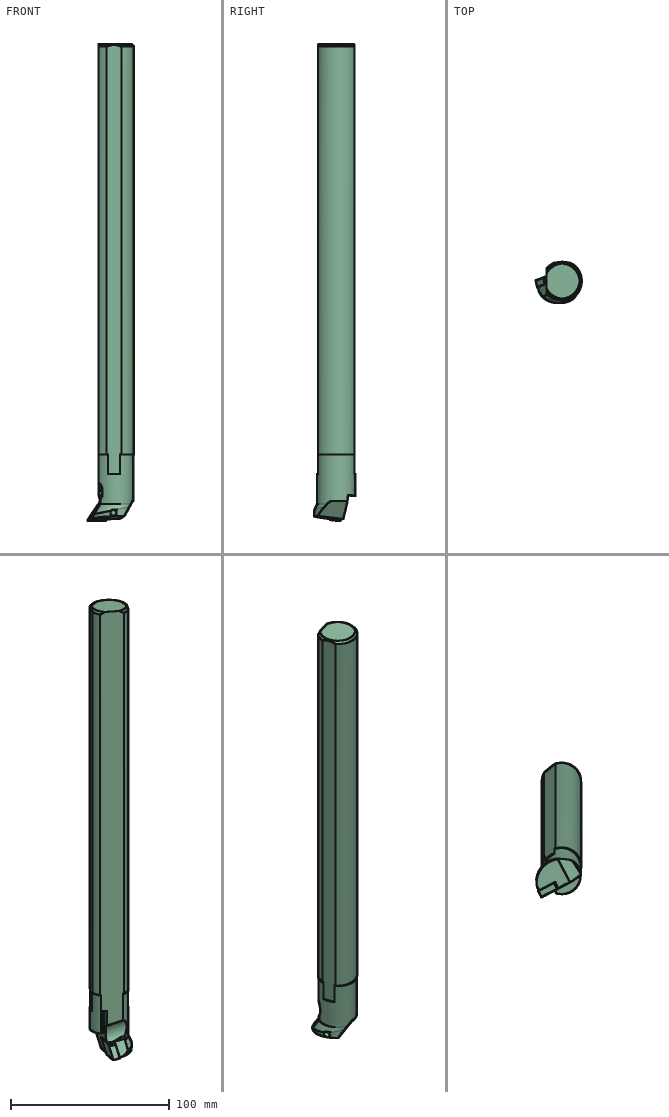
import cadquery as cq
import math

bar_length = 301.2
shank_radius = 12.5
shank_bottom = 42.0
top_chamfer = 1.5
side_flat_x = -10.0
face_flat_offset = 11.6
face_flat_bottom = 29.5
cut_margin = 30.0

neck_radius = 12.2
neck_bottom = 12.7

flare_top = 10.5
flare_radius = 14.9
flare_center = (-2.5, 1.0, 6.3)
flare_slope = 0.2
head_depth = 27.0
relief_depth = 42.2
head_outline = [(1.0, 0.5), (20.8, 1.2), (28.3, 12.7), (31.5, 27.0), (6.5, 27.0), (6.5, 9.5)]

tip = (-17.05, 0.3, 0.0)
rake_slope_x = 0.2
rake_slope_z = 0.12
rake_wall_height = 16.5

insert_edge = 11.7
insert_angle = 55.0
insert_thickness = 4.5
nose_radius = 0.4

scoop_radius = 7.8
scoop_floor_x = -7.2
scoop_center_z = 16.0
scoop_tilt = 15.0
scoop_end_y = 3.5
groove_top = 31.0
groove_floor_x = -7.8
groove_y = (3.3, 4.5, 8.7)
groove_overrun = 3.0
hole_diameter = 4.0
hole_center = (-0.45, 5.0)
hole_depth = 6.0

rake_plane = cq.Plane(
    origin=tip,
    xDir=(1, rake_slope_x, 0),
    normal=(rake_slope_x, -1, rake_slope_z),
)


def make_insert():
    angle = math.radians(insert_angle)
    side_x = insert_edge * math.cos(angle)
    side_y = insert_edge * math.sin(angle)
    corners = [(0, 0), (insert_edge, 0), (insert_edge + side_x, side_y), (side_x, side_y)]
    diamond = cq.Workplane(rake_plane).polyline(corners).close().extrude(insert_thickness)
    nose = cq.selectors.NearestToPointSelector(
        rake_plane.toWorldCoords((0, 0, insert_thickness / 2)).toTuple()
    )
    return diamond.edges(nose).fillet(nose_radius)


def make_shank_and_neck():
    shank = (
        cq.Workplane("XY", origin=(0, 0, shank_bottom))
        .circle(shank_radius)
        .extrude(bar_length - shank_bottom)
        .faces(">Z")
        .chamfer(top_chamfer)
    )
    neck = (
        cq.Workplane("XY", origin=(0, 0, neck_bottom))
        .circle(neck_radius)
        .extrude(shank_bottom - neck_bottom)
    )
    return shank.union(neck)


def cut_flats(bar):
    side_block = cq.Workplane("XY").box(
        cut_margin, 2 * cut_margin, bar_length - neck_bottom, centered=(False, True, False)
    )
    bar = bar.cut(side_block.translate((side_flat_x - cut_margin, 0, neck_bottom)))
    for side in (-1, 1):
        face_block = cq.Workplane("XY").box(
            2 * cut_margin, cut_margin, bar_length - face_flat_bottom, centered=(True, True, False)
        )
        block_y = side * (face_flat_offset + cut_margin / 2)
        bar = bar.cut(face_block.translate((0, block_y, face_flat_bottom)))
    return bar


def make_head():
    """Flared end, trimmed to the slanted outline of the cutting tip."""
    collar = (
        cq.Workplane("XY", origin=(0, 0, flare_top))
        .circle(neck_radius)
        .extrude(neck_bottom - flare_top)
    )
    flare_plane = cq.Plane(origin=flare_center, xDir=(1, 0, flare_slope), normal=(-flare_slope, 0, 1))
    neck_wire = cq.Wire.makeCircle(neck_radius, cq.Vector(0, 0, flare_top), cq.Vector(0, 0, 1))
    flare_wire = cq.Wire.makeCircle(flare_radius, flare_plane.origin, flare_plane.zDir)
    flare = cq.Workplane(cq.Solid.makeLoft([neck_wire, flare_wire], True))
    skirt = cq.Workplane(flare_plane).circle(flare_radius).extrude(-head_depth)
    trim = (
        cq.Workplane(rake_plane)
        .workplane(offset=-relief_depth)
        .polyline(head_outline)
        .close()
        .extrude(2 * relief_depth)
    )
    return collar.union(flare).union(skirt).intersect(trim)


def make_rake_cutter():
    return (
        cq.Workplane(rake_plane)
        .center(-cut_margin, rake_wall_height - cut_margin)
        .rect(3 * cut_margin, cut_margin, centered=False)
        .extrude(-cut_margin)
    )


def make_scoop():
    """Slightly tilted round cut that stops just past the middle of the bar."""
    cylinder = (
        cq.Workplane("XZ", origin=(scoop_floor_x - scoop_radius, 0, scoop_center_z))
        .circle(scoop_radius)
        .extrude(cut_margin, both=True)
        .rotate((0, 0, scoop_center_z), (1, 0, scoop_center_z), -scoop_tilt)
    )
    limit = cq.Workplane("XY").box(4 * cut_margin, 2 * cut_margin, 4 * cut_margin)
    return cylinder.intersect(limit.translate((0, scoop_end_y - cut_margin, 0)))


def make_chip_groove():
    near_y, floor_y, far_y = groove_y
    outer_x = side_flat_x - groove_overrun
    profile = [(outer_x, near_y), (side_flat_x, near_y), (groove_floor_x, floor_y), (outer_x, far_y)]
    return (
        cq.Workplane("XY", origin=(0, 0, neck_bottom))
        .polyline(profile)
        .close()
        .extrude(groove_top - neck_bottom)
    )


def make_screw_hole():
    hole_x, hole_z = hole_center
    return (
        cq.Workplane("XZ", origin=(hole_x, hole_depth - flare_radius, hole_z))
        .circle(hole_diameter / 2)
        .extrude(cut_margin)
    )


insert = make_insert()
holder = cut_flats(make_shank_and_neck()).union(make_head())
for cutter in (make_rake_cutter(), make_scoop(), make_chip_groove(), make_screw_hole()):
    holder = holder.cut(cutter)
holder = holder.cut(insert)

result = cq.Compound.makeCompound([*holder.solids().vals(), insert.val()])